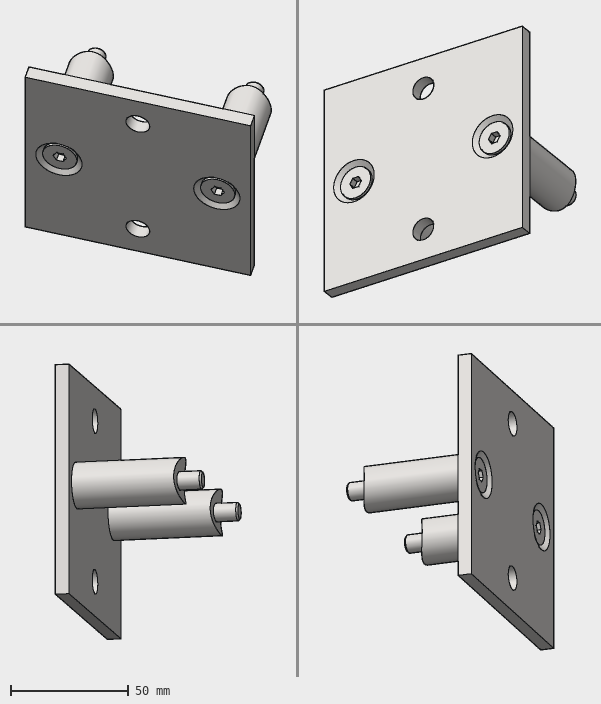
import cadquery as cq
import math

plate_side = 100.0
plate_thickness = 6.0
mount_hole_diameter = 10.5
hole_offset = 35.0

sleeve_diameter = 20.0
saddle_radius = 20.0
saddle_bottom_y = 50.7

screw_diameter = 8.0
screw_end_y = 61.3
screw_tip_chamfer = 0.8
countersink_diameter = 20.5
head_diameter = 15.2
head_recess = 1.3
head_rim_depth = 2.6
socket_across_flats = 5.0
socket_depth = 3.5

cone_slope = (countersink_diameter - head_diameter) / 2 / head_rim_depth
cone_depth = (countersink_diameter - screw_diameter) / 2 / cone_slope

screw_positions = [-hole_offset, hole_offset]


def rod(x, z, diameter, y_start, y_end):
    """Cylinder along +Y between two Y positions."""
    return (
        cq.Workplane("XZ", origin=(x, y_start, z))
        .circle(diameter / 2)
        .extrude(y_start - y_end)
    )


def screw_space(x):
    """Countersink and shank bore for one screw."""
    cone = cq.Workplane(
        cq.Solid.makeCone(
            countersink_diameter / 2, screw_diameter / 2, cone_depth,
            cq.Vector(x, 0, 0), cq.Vector(0, 1, 0),
        )
    )
    return cone.union(rod(x, 0, screw_diameter, 0, screw_end_y))


def make_plate():
    plate = cq.Workplane("XY").box(
        plate_side, plate_thickness, plate_side, centered=(True, False, True)
    )
    for z in (-hole_offset, hole_offset):
        plate = plate.cut(rod(0, z, mount_hole_diameter, 0, plate_thickness))
    for x in screw_positions:
        plate = plate.cut(screw_space(x))
    return plate


def make_sleeve(x):
    """Bored sleeve whose far end is a saddle for a round bar along X."""
    saddle_axis_y = saddle_bottom_y + saddle_radius
    sleeve = rod(x, 0, sleeve_diameter, plate_thickness, saddle_axis_y)
    saddle_bar = (
        cq.Workplane("YZ", origin=(x, saddle_axis_y, 0))
        .circle(saddle_radius)
        .extrude(sleeve_diameter, both=True)
    )
    return sleeve.cut(saddle_bar).cut(screw_space(x))


def make_screw(x):
    """Countersunk screw with a hexagon socket and a chamfered tip."""
    tip_radius = screw_diameter / 2 - screw_tip_chamfer
    screw = (
        cq.Workplane("XY")
        .moveTo(0, head_recess)
        .lineTo(head_diameter / 2, head_recess)
        .lineTo(head_diameter / 2, head_rim_depth)
        .lineTo(screw_diameter / 2, cone_depth)
        .lineTo(screw_diameter / 2, screw_end_y - screw_tip_chamfer)
        .lineTo(tip_radius, screw_end_y)
        .lineTo(0, screw_end_y)
        .close()
        .revolve(360, (0, 0, 0), (0, 1, 0))
        .translate((x, 0, 0))
    )
    socket_across_corners = socket_across_flats / math.cos(math.radians(30))
    socket = (
        cq.Workplane("XZ", origin=(x, head_recess, 0))
        .polygon(6, socket_across_corners)
        .extrude(-socket_depth)
    )
    return screw.cut(socket)


plate = make_plate()
sleeves = [make_sleeve(x) for x in screw_positions]
screws = [make_screw(x) for x in screw_positions]

result = cq.Compound.makeCompound(
    [plate.val()]
    + [sleeve.val() for sleeve in sleeves]
    + [screw.val() for screw in screws]
)